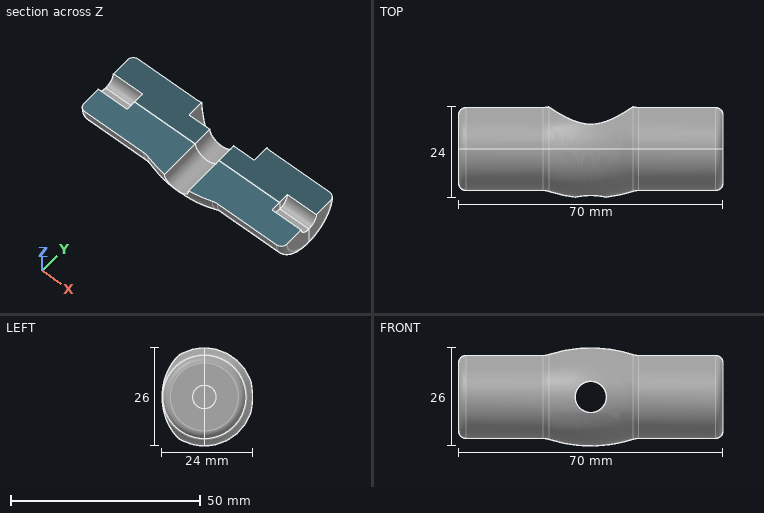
import cadquery as cq
import math


length = 70.0
grip_radius = 22.0 / 2
bulge_radius = 26.0 / 2
end_rounding = 2.0
bulge_arc_radius = 36.0
blend_radius = 5.0

cross_hole_diameter = 8.2
seat_diameter = 22.4
seat_floor_y = 6.0
end_hole_diameter = 6.2
end_hole_depth = 10.0

half_length = length / 2
arc_centre_r = bulge_radius - bulge_arc_radius
blend_centre_r = grip_radius + blend_radius
blend_end_x = math.sqrt((bulge_arc_radius + blend_radius) ** 2 - (blend_centre_r - arc_centre_r) ** 2)
blend_start_x = blend_end_x * bulge_arc_radius / (bulge_arc_radius + blend_radius)
blend_start_r = arc_centre_r + math.sqrt(bulge_arc_radius**2 - blend_start_x**2)


def make_barrel():
    """Full round handle with a smooth bulge in the middle and rounded ends."""
    flat_x = half_length - end_rounding
    flat_r = grip_radius - end_rounding
    profile = (
        cq.Workplane("XY")
        .moveTo(-half_length, 0)
        .lineTo(-half_length, flat_r)
        .radiusArc((-flat_x, grip_radius), end_rounding)
        .lineTo(-blend_end_x, grip_radius)
        .radiusArc((-blend_start_x, blend_start_r), -blend_radius)
        .threePointArc((0, bulge_radius), (blend_start_x, blend_start_r))
        .radiusArc((blend_end_x, grip_radius), -blend_radius)
        .lineTo(flat_x, grip_radius)
        .radiusArc((half_length, flat_r), end_rounding)
        .lineTo(half_length, 0)
        .close()
    )
    return profile.revolve(360, (0, 0, 0), (1, 0, 0))


def cut_holes(barrel):
    """Cut the cross hole, the round seat on the +Y side and a blind hole in each end."""
    cross_hole = cq.Workplane("XZ").circle(cross_hole_diameter / 2).extrude(bulge_radius, both=True)
    seat_depth = bulge_radius - seat_floor_y
    seat = cq.Workplane("XZ", origin=(0, bulge_radius, 0)).circle(seat_diameter / 2).extrude(seat_depth)
    drilled = barrel.cut(cross_hole).cut(seat)
    for end_face in ("<X", ">X"):
        drilled = drilled.faces(end_face).workplane(origin=(0, 0, 0)).hole(end_hole_diameter, end_hole_depth)
    return drilled


def half_space(side):
    """Block covering everything on one side (+1 or -1) of the parting plane."""
    block = cq.Workplane("XY").box(length, bulge_radius, 2 * bulge_radius)
    return block.translate((0, side * bulge_radius / 2, 0))


handle = cut_holes(make_barrel())
front_half = handle.intersect(half_space(-1)).solids()
rear_half = handle.intersect(half_space(1)).solids()

result = cq.Compound.makeCompound([front_half.val(), rear_half.val()])